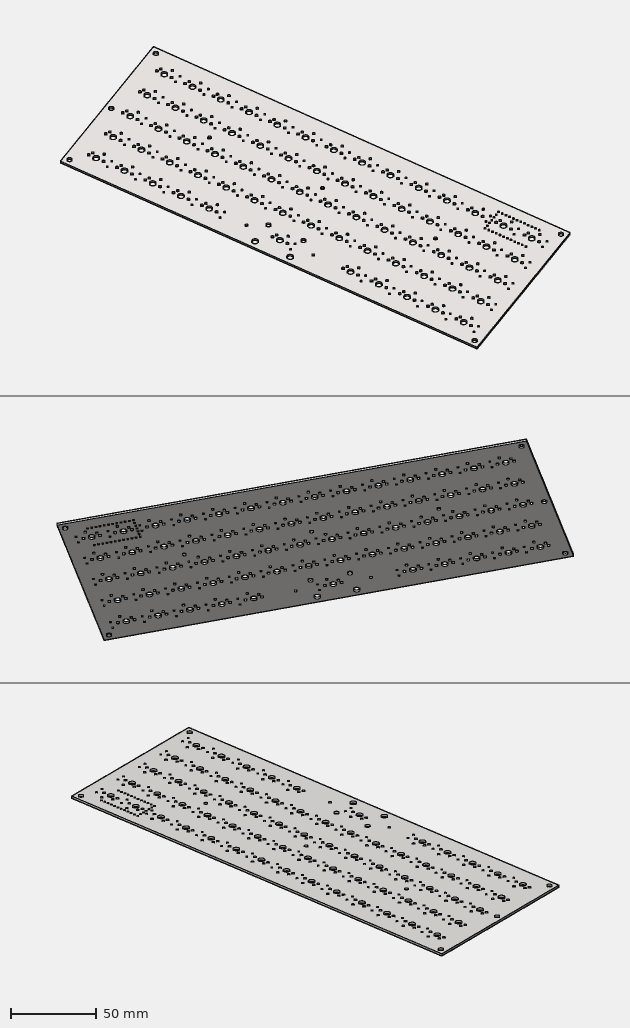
import cadquery as cq

board_length = 285.0
board_width = 105.8
board_thickness = 1.6

columns = 14
rows = 5
key_field_length = 251.5
key_pitch = key_field_length / (columns - 1)
key_field_drop = 1.23
key_field_shift = -0.15

wide_key_columns = range(5, 9)

drill_grid = 2.55
half_grid = drill_grid / 2
switch_hole = 4.0
peg_hole = 1.7
pin_hole = 1.5
peg_reach = 4 * half_grid
pin_offsets = [(-3 * half_grid, 2 * half_grid), (2 * half_grid, 4 * half_grid)]

diode_hole = 1.1
diode_spacing = 2 * drill_grid
diode_reach = 8.8
diode_rise = 0.9
diode_drop_per_column = 0.07
bottom_diode_reach = 9.0
bottom_diode_rise = 0.05

stabilizer_reach = 12.0
stabilizer_pin_hole = 3.0
stabilizer_pin_rise = 6.8
stabilizer_clip_hole = 4.0
stabilizer_clip_drop = 8.3
outer_peg_reach = 22.8

controller_hole = 1.08
controller_row_pins = 12
controller_column_pins = 7
controller_left = 98.0
controller_top = 45.3

edge_hole = 3.0
edge_hole_x = 138.5
edge_hole_y = 49.0
left_edge_hole_drop = 1.7
inner_hole = 2.2
inner_hole_x = 77.3
inner_hole_y = 8.3


sides = (-1, 1)
bottom_row = rows - 1


def column_x(column):
    return (column - (columns - 1) / 2) * key_pitch + key_field_shift


def row_y(row):
    return ((rows - 1) / 2 - row) * key_pitch - key_field_drop


def shifted(centers, offsets):
    """Every center moved by every offset."""
    return [(x + dx, y + dy) for x, y in centers for dx, dy in offsets]


def drill(outline, diameter, centers):
    """Add round holes to the board outline."""
    return outline.pushPoints(centers).circle(diameter / 2)


wide_key = (key_field_shift, row_y(bottom_row))
upper_keys = [(column_x(c), row_y(r)) for r in range(bottom_row) for c in range(columns)]
bottom_keys = [(column_x(c), row_y(bottom_row)) for c in range(columns) if c not in wide_key_columns]
bottom_keys.append(wide_key)


def add_switches(outline):
    """Center hole, two pegs and two contact pins for every key."""
    keys = upper_keys + bottom_keys
    pegs = [(side * peg_reach, 0) for side in sides]
    outline = drill(outline, switch_hole, keys)
    outline = drill(outline, peg_hole, shifted(keys, pegs))
    return drill(outline, pin_hole, shifted(keys, pin_offsets))


def add_diodes(outline, keys, reach, rise):
    """Two holes beside each key; the line of diodes sinks slightly toward the right."""
    drop_per_length = diode_drop_per_column / key_pitch
    middles = [(x + reach, y + rise - (x - column_x(0)) * drop_per_length) for x, y in keys]
    ends = [(0, side * diode_spacing / 2) for side in sides]
    return drill(outline, diode_hole, shifted(middles, ends))


def add_stabilizer(outline):
    """Pins, clips and outer pegs on both sides of the wide key."""
    pins = [(side * stabilizer_reach, stabilizer_pin_rise) for side in sides]
    clips = [(side * stabilizer_reach, -stabilizer_clip_drop) for side in sides]
    outer_pegs = [(side * outer_peg_reach, 0) for side in sides]
    outline = drill(outline, stabilizer_pin_hole, shifted([wide_key], pins))
    outline = drill(outline, stabilizer_clip_hole, shifted([wide_key], clips))
    return drill(outline, peg_hole, shifted([wide_key], outer_pegs))


def add_controller(outline):
    """Pin holes on three sides of a rectangle of the drill grid."""
    last_pin = controller_column_pins - 1
    pins = [
        (controller_left + i * drill_grid, controller_top - j * drill_grid)
        for i in range(controller_row_pins)
        for j in range(controller_column_pins)
        if i == 0 or j in (0, last_pin)
    ]
    return drill(outline, controller_hole, pins)


def add_mounting_holes(outline):
    """Four corner holes, one on the left edge and three in a row inside."""
    corners = [(sx * edge_hole_x, sy * edge_hole_y) for sx in sides for sy in sides]
    left_edge = (-edge_hole_x, -left_edge_hole_drop)
    inner = [(x, inner_hole_y) for x in (-inner_hole_x, 0, inner_hole_x)]
    outline = drill(outline, edge_hole, corners + [left_edge])
    return drill(outline, inner_hole, inner)


outline = cq.Workplane("XY").rect(board_length, board_width)
outline = add_switches(outline)
outline = add_diodes(outline, upper_keys, diode_reach, diode_rise)
outline = add_diodes(outline, bottom_keys, bottom_diode_reach, bottom_diode_rise)
outline = add_stabilizer(outline)
outline = add_controller(outline)
outline = add_mounting_holes(outline)
result = outline.extrude(board_thickness)